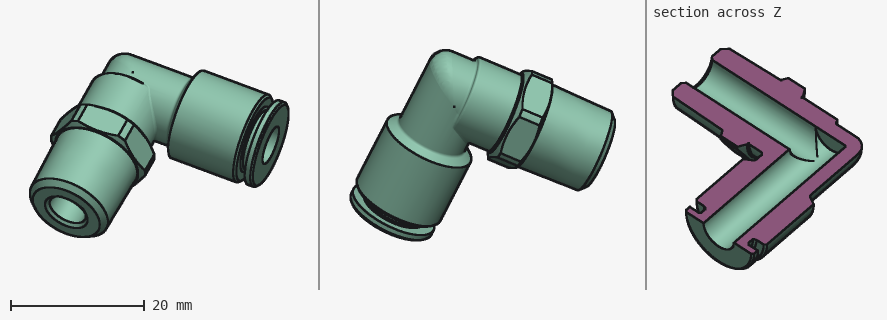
import cadquery as cq
import math


tube_radius = 5.45
corner_round = 2.55
core_radius = 0.2
bore_radius = 2.98
bore_mouth_radius = 3.5

body_radius = 7.0
body_end = 20.05
body_chamfer = 0.37
shoulder_slope = math.radians(60)
shoulder_corner = 8.1
shoulder_setback = 0.28
neck_radius = 4.7
neck_cone_length = 0.2
neck_cone_height = 0.5
collar_foot = 0.2
collar_start = 21.48
collar_end = 22.7
collar_radius = 6.75
collar_chamfer = 0.3

stem_radius = 6.23
stem_top = 1.25
stem_round = 0.37
stem_edge_chamfer = 0.22
joint_round = 0.37
hex_top = 8.43
hex_bottom = 13.05
hex_across_flats = 2 * body_radius
hex_corner_radius = 7.75
hex_chamfer_angle = math.radians(30)
hex_top_chamfer = 0.75
hex_bottom_chamfer = 0.53
thread_start_radius = 6.7
thread_end_radius = 6.45
thread_tip_radius = 5.52
thread_tip_start = 23.05
thread_end = 24.0


def along_y(radius, start, end):
    """Cylinder about the stem axis between two distances along -Y."""
    return cq.Workplane("XZ").workplane(offset=start).circle(radius).extrude(end - start)


def revolve_stem(points):
    """Revolve (radius, distance) points about the stem axis, closed along the axis."""
    outline = [(0, -points[0][1])]
    outline += [(radius, -distance) for radius, distance in points]
    outline += [(0, -points[-1][1])]
    return cq.Workplane("XY").polyline(outline).close().revolve(360, (0, 0, 0), (0, 1, 0))


def keep_side(solid, direction):
    """Keep the part of a solid on the side of the Z axis that a plan angle points to."""
    size = 4 * thread_end
    block = cq.Workplane("XY").box(size, size, size, centered=(False, True, True))
    return solid.intersect(block.rotate((0, 0, 0), (0, 0, 1), math.degrees(direction)))


def make_corner(first_angle, last_angle):
    """Rounded outer corner: half-ellipse slices, all of one height, fanned about Z."""
    slice_count = 7
    center = tube_radius - corner_round
    slices = []
    for i in range(slice_count):
        angle = first_angle + (last_angle - first_angle) * i / (slice_count - 1)
        miter_angle = angle - math.radians(135)
        along = center * math.sqrt(2) * math.cos(miter_angle)
        across = center * math.sqrt(2) * math.sin(miter_angle)
        reach = along + math.sqrt(corner_round**2 - across**2)
        inner = core_radius / 2
        half_height = tube_radius * math.sqrt(1 - (inner / reach)**2)
        plane = cq.Plane(
            origin=(0, 0, 0),
            xDir=(math.cos(angle), math.sin(angle), 0),
            normal=(math.sin(angle), -math.cos(angle), 0),
        )
        limit = math.degrees(math.asin(half_height / tube_radius))
        section = (
            cq.Workplane(plane)
            .ellipseArc(reach, tube_radius, -limit, limit, startAtCurrent=False)
            .close()
        )
        slices.append(section.val())
    return cq.Workplane(obj=cq.Solid.makeLoft(slices))


def make_elbow():
    setback_angle = math.atan((tube_radius - corner_round) / tube_radius)
    first_angle = math.pi / 2 + setback_angle
    last_angle = math.pi - setback_angle
    branch = (
        cq.Workplane("YZ").workplane(offset=-tube_radius)
        .circle(tube_radius).extrude(tube_radius + shoulder_corner - shoulder_setback)
    )
    branch = keep_side(branch, first_angle - math.pi / 2)
    drop = keep_side(along_y(tube_radius, -tube_radius, hex_top), last_angle + math.pi / 2)
    post_height = 2 * math.sqrt(tube_radius**2 - core_radius**2)
    post = cq.Workplane("XY").circle(core_radius).extrude(post_height / 2, both=True)
    return branch.union(drop).union(post).union(make_corner(first_angle, last_angle))


def make_stem():
    stem = revolve_stem([
        (stem_radius, stem_top),
        (stem_radius, hex_top - stem_edge_chamfer),
        (stem_radius - stem_edge_chamfer, hex_top),
    ])
    return stem.faces(">Y").edges().fillet(stem_round)


def make_branch_body():
    blend_start = shoulder_corner - shoulder_setback
    blend_end_x = shoulder_corner + shoulder_setback * math.cos(shoulder_slope)
    blend_end_radius = tube_radius + shoulder_setback * math.sin(shoulder_slope)
    blend_radius = shoulder_setback / math.tan(shoulder_slope / 2)
    blend_middle = (
        blend_start + blend_radius * math.sin(shoulder_slope / 2),
        tube_radius + blend_radius * (1 - math.cos(shoulder_slope / 2)),
    )
    shoulder_end = shoulder_corner + (body_radius - tube_radius) / math.tan(shoulder_slope)
    return (
        cq.Workplane("XY")
        .moveTo(blend_start, 0)
        .lineTo(blend_start, tube_radius)
        .threePointArc(blend_middle, (blend_end_x, blend_end_radius))
        .lineTo(shoulder_end, body_radius)
        .lineTo(body_end - body_chamfer, body_radius)
        .lineTo(body_end, body_radius - body_chamfer)
        .lineTo(body_end, neck_radius + neck_cone_height)
        .lineTo(body_end + neck_cone_length, neck_radius)
        .lineTo(collar_start - collar_foot, neck_radius)
        .lineTo(collar_start, neck_radius + collar_foot)
        .lineTo(collar_start, collar_radius)
        .lineTo(collar_end - collar_chamfer, collar_radius)
        .lineTo(collar_end, collar_radius - collar_chamfer)
        .lineTo(collar_end, 0)
        .close()
        .revolve(360, (0, 0, 0), (1, 0, 0))
    )


def make_hexagon():
    prism = (
        cq.Workplane("XZ").workplane(offset=hex_top)
        .polygon(6, hex_across_flats, circumscribed=True).extrude(hex_bottom - hex_top)
    )
    prism = prism.rotate((0, 0, 0), (0, 1, 0), 30)
    top_radius = hex_corner_radius - hex_top_chamfer / math.tan(hex_chamfer_angle)
    bottom_radius = hex_corner_radius - hex_bottom_chamfer / math.tan(hex_chamfer_angle)
    envelope = revolve_stem([
        (top_radius, hex_top),
        (hex_corner_radius, hex_top + hex_top_chamfer),
        (hex_corner_radius, hex_bottom - hex_bottom_chamfer),
        (bottom_radius, hex_bottom),
    ])
    return prism.intersect(envelope)


def make_thread():
    return revolve_stem([
        (thread_start_radius, hex_bottom),
        (thread_end_radius, thread_tip_start),
        (thread_tip_radius, thread_end),
    ])


def make_bores():
    """Two equal bores meeting in the elbow, with a chamfered mouth at the thread end."""
    mouth_depth = bore_mouth_radius - bore_radius
    stem_bore = revolve_stem([
        (bore_radius, 0),
        (bore_radius, thread_end - mouth_depth),
        (bore_mouth_radius, thread_end),
    ])
    branch_bore = (
        cq.Workplane("YZ").workplane(offset=-bore_radius)
        .circle(bore_radius).extrude(bore_radius + collar_end)
    )
    return stem_bore.union(branch_bore)


def blend_joint(fitting):
    """Fillet the inner edges where the stem meets the elbow tube."""
    margin = 0.03
    branch_side = cq.selectors.BoxSelector(
        (stem_top + margin, -tube_radius, -stem_radius),
        (stem_radius - margin, -stem_top + margin, stem_radius),
    )

    def is_tube_foot(edge):
        on_top = abs(edge.Center().y + stem_top) < margin
        return on_top and edge.geomType() == "CIRCLE" and abs(edge.radius() - tube_radius) < margin

    foot = fitting.edges().filter(is_tube_foot)
    return fitting.edges(branch_side).add(foot).fillet(joint_round)


fitting = make_elbow().union(make_stem())
fitting = blend_joint(fitting)
fitting = fitting.union(make_branch_body())
fitting = fitting.union(make_hexagon())
fitting = fitting.union(make_thread())
result = fitting.cut(make_bores())